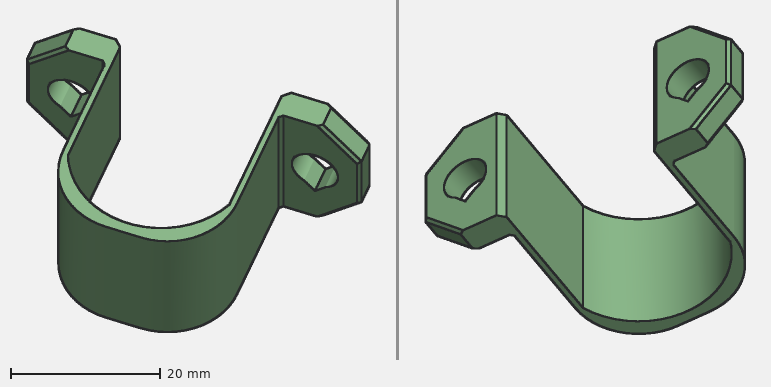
import cadquery as cq
import math

length = 48.0
depth = 30.0
width = 20.0

outer_half = 12.5
wall = 0.9
bottom_thickness = 1.65
outer_corner_radius = 10.0
saddle_radius = 12.5
mouth_chamfer = 1.0
root_chamfer = 0.5

flange_thickness = 4.0
flange_corner_cut = 5.5
rim_chamfer = 0.5

hole_spacing = 35.0
hole_radius = 3.3
hole_tip_drop = 4.45

half_length = length / 2
back = depth / 2
front = -depth / 2
flange_front = back - flange_thickness
inner_half = outer_half - wall
saddle_bottom = front + bottom_thickness
saddle_center = saddle_bottom + saddle_radius
saddle_edge = saddle_center - math.sqrt(saddle_radius**2 - inner_half**2)


def make_strap():
    """U-shaped strap with a shallow round saddle, extruded along Z."""
    outline = (
        cq.Workplane("XY", origin=(0, 0, -width / 2))
        .moveTo(-outer_half, back)
        .lineTo(-outer_half, front)
        .lineTo(outer_half, front)
        .lineTo(outer_half, back)
        .lineTo(inner_half, back)
        .lineTo(inner_half, saddle_edge)
        .threePointArc((0, saddle_bottom), (-inner_half, saddle_edge))
        .lineTo(-inner_half, back)
        .close()
    )
    return outline.extrude(width).edges("|Z and <Y").fillet(outer_corner_radius)


def make_flange(side):
    """Flange with cut corners, bevelled rim and root; side is -1 or 1 along X."""
    rim_half = width / 2 - flange_corner_cut
    shoulder = half_length - flange_corner_cut
    plate = (
        cq.Workplane("XZ", origin=(0, back, 0))
        .polyline([
            (side * inner_half, -width / 2),
            (side * shoulder, -width / 2),
            (side * half_length, -rim_half),
            (side * half_length, rim_half),
            (side * shoulder, width / 2),
            (side * inner_half, width / 2),
        ])
        .close()
        .extrude(flange_thickness)
    )
    rim_x = side * (half_length + shoulder) / 2
    margin = 0.05
    rim_box = cq.selectors.BoxSelector(
        (rim_x - flange_corner_cut / 2 - margin, front, -width / 2 + margin),
        (rim_x + flange_corner_cut / 2 + margin, back + margin, width / 2 - margin),
    )
    plate = plate.edges(rim_box).edges("#Y").chamfer(rim_chamfer)
    root = (
        cq.Workplane("XY", origin=(0, 0, -width / 2))
        .polyline([
            (side * outer_half, flange_front),
            (side * (outer_half + root_chamfer), flange_front),
            (side * outer_half, flange_front - root_chamfer),
        ])
        .close()
        .extrude(width)
    )
    return plate.union(root)


def make_mouth_cut(side):
    """Bevel on the inner edge at the open end of a leg."""
    return (
        cq.Workplane("XY", origin=(0, 0, -width / 2))
        .polyline([
            (side * inner_half, back),
            (side * (inner_half + mouth_chamfer), back),
            (side * inner_half, back - mouth_chamfer),
        ])
        .close()
        .extrude(width)
    )


def make_hole(side):
    """Teardrop through a flange: a round hole with a right-angled tip below."""
    plane = cq.Workplane("XZ", origin=(side * hole_spacing / 2, back, 0))
    bore = plane.circle(hole_radius).extrude(flange_thickness)
    wedge_half = hole_tip_drop / 2
    tip = (
        plane.moveTo(0, -hole_tip_drop)
        .lineTo(wedge_half, -hole_tip_drop + wedge_half)
        .lineTo(-wedge_half, -hole_tip_drop + wedge_half)
        .close()
        .extrude(flange_thickness)
    )
    return bore.union(tip)


result = make_strap()
for side in (-1, 1):
    result = result.union(make_flange(side))
    result = result.cut(make_mouth_cut(side))
    result = result.cut(make_hole(side))